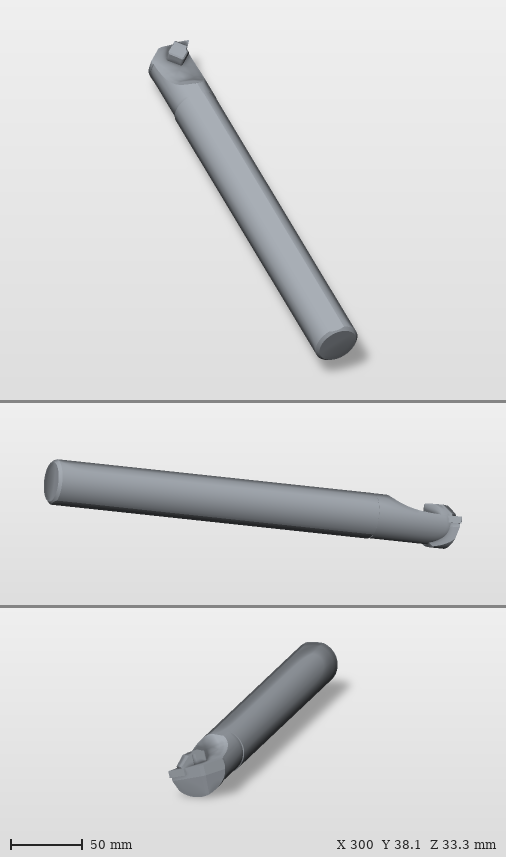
import cadquery as cq
import math

total_length = 300.0
shank_diameter = 32.0
flat_height = 15.0
shank_start = 60.0
end_chamfer = 2.0

neck_radius = 15.75
neck_offset = 0.5
head_radius = 18.3
head_offset = 3.0
head_length = 17.5
head_run_out = 2.7

rake_angle = 13.0
tip_y = 22.05

end_face_x = 0.75
end_face_inner = (2.0, -1.0)
corner_outer = (3.0, -4.0)
land_depth = 7.5
relief_angle = 10.0
trailing_setback = 0.5

pocket_length = 49.5
pocket_rise = 10.0
pocket_waist = (27.0, 1.2)
pocket_floor_slope = 2.0
pocket_end_slope = 42.0

insert_edge = 11.7
insert_angle = 55.0
insert_thickness = 4.8
insert_nose_radius = 0.4

clamp_length = 20.7
clamp_width = 12.0
clamp_height = 7.5
clamp_corner = (15.0, -3.5)
clamp_direction = 135.0
clamp_corner_diameter = 3.3
clamp_chamfer = 1.0
clamp_groove_diameter = 4.0
clamp_groove_place = 9.5
clamp_groove_depth = 0.5
clamp_top_length = 13.5
nose_slope = 40.0
clamp_trim_radius = 16.8
clamp_trim_offset = 1.0

reach = 2 * shank_diameter

tip_plan_y = tip_y * math.cos(math.radians(rake_angle))
rake_height = tip_y * math.sin(math.radians(rake_angle))

trailing_slope = 1 / math.tan(math.radians(insert_angle))
trailing_drop = trailing_setback / math.sin(math.radians(insert_angle))
trailing_start_y = tip_plan_y - trailing_drop - trailing_slope * end_face_x


def tilt(shape):
    """Turn a shape from the rake frame into its place on the bar."""
    return shape.rotate((0, 0, 0), (1, 0, 0), -rake_angle)


def rod(radius, start, end, offset=0.0):
    """Round rod along X whose centre is moved by offset in Y."""
    return cq.Workplane("YZ", origin=(start, offset, 0)).circle(radius).extrude(end - start)


def relieved_prism(outline):
    """Prism with the given plan: straight down to the land's edge, then with relief."""
    land_bottom = rake_height - land_depth
    upper = cq.Workplane("XY").workplane(offset=land_bottom).polyline(outline).close().extrude(reach)
    lower = (
        cq.Workplane("XY")
        .workplane(offset=land_bottom)
        .polyline(outline)
        .close()
        .extrude(-shank_diameter, taper=relief_angle)
    )
    return tilt(upper.union(lower))


def front_faces():
    """Plan points of the end face, the corner face and the 45 degree face, in that order."""
    face_run = shank_diameter
    return [
        (end_face_x, trailing_start_y),
        end_face_inner,
        corner_outer,
        (corner_outer[0] + face_run, corner_outer[1] - face_run),
    ]


def make_shank():
    shank = rod(shank_diameter / 2, shank_start, total_length)
    return shank.faces(">X").chamfer(end_chamfer)


def make_neck():
    rear = [(2 * reach, -shank_diameter), (2 * reach, reach), (end_face_x, reach)]
    plan = front_faces() + rear
    return rod(neck_radius, 0, shank_start, neck_offset).intersect(relieved_prism(plan))


def make_head():
    """Larger round head, cut back along the insert's trailing edge."""
    trailing_end = (end_face_x + reach, trailing_start_y - trailing_slope * reach)
    plan = front_faces() + [trailing_end]
    run_out = (
        cq.Workplane("XZ", origin=(0, reach, 0))
        .moveTo(head_length, -head_radius)
        .line(0, head_run_out)
        .line(-head_run_out, -head_run_out)
        .close()
        .extrude(2 * reach)
    )
    return rod(head_radius, 0, head_length, head_offset).intersect(relieved_prism(plan)).cut(run_out)


def make_flats():
    """Material to remove beyond the top and bottom flats; the bottom flat is on the shank only."""
    top = cq.Workplane("XY", origin=(0, 0, flat_height)).rect(3 * total_length, reach).extrude(reach)
    bottom = (
        cq.Workplane("XY", origin=((shank_start + total_length) / 2, 0, -flat_height))
        .rect(total_length - shank_start, reach)
        .extrude(-reach)
    )
    return top.union(bottom)


def make_chip_pocket():
    """Room above the rake face, whose floor sweeps smoothly up towards the shank."""
    start = (0, rake_height)
    waist = (pocket_waist[0], rake_height + pocket_waist[1])
    end = (pocket_length, rake_height + pocket_rise)
    floor_slope = math.radians(pocket_floor_slope)
    end_slope = math.radians(pocket_end_slope)
    tangents = [(math.cos(slope), math.sin(slope)) for slope in (floor_slope, end_slope)]
    overrun = pocket_rise
    profile = (
        cq.Workplane("XZ", origin=(0, reach, 0))
        .moveTo(*start)
        .spline([waist, end], tangents=tangents, includeCurrent=True)
        .line(overrun * math.cos(end_slope), overrun * math.sin(end_slope))
        .lineTo(0, end[1] + overrun * math.sin(end_slope))
        .close()
    )
    return tilt(profile.extrude(2 * reach))


def make_clamp(envelope):
    """Block with rounded rear corners and a sloping nose, kept within the round envelope."""
    block = (
        cq.Workplane("XY")
        .box(clamp_length, clamp_width, clamp_height, centered=False)
        .translate((0, -clamp_width, 0))
    )
    corner_radius = clamp_corner_diameter / 2
    block = block.edges("|Z and <X and <Y").fillet(corner_radius)
    block = block.faces(">Z").edges("<X or <Y").chamfer(clamp_chamfer)
    block = block.edges("|Z and <X and >Y").fillet(corner_radius)
    groove_radius = clamp_groove_diameter / 2
    groove = (
        cq.Workplane("XY", origin=(clamp_groove_place, groove_radius - clamp_groove_depth, 0))
        .circle(groove_radius)
        .extrude(clamp_height)
    )
    nose_run = clamp_length - clamp_top_length
    nose_cut = (
        cq.Workplane("XZ", origin=(0, reach, 0))
        .moveTo(clamp_top_length, clamp_height)
        .lineTo(clamp_length, clamp_height - nose_run * math.tan(math.radians(nose_slope)))
        .lineTo(clamp_length, clamp_height)
        .close()
        .extrude(2 * reach)
    )
    clamp = block.cut(nose_cut).cut(groove).rotate((0, 0, 0), (0, 0, 1), clamp_direction)
    clamp = tilt(clamp.translate((clamp_corner[0], clamp_corner[1], rake_height)))
    outside = rod(clamp_trim_radius, 0, shank_start, clamp_trim_offset)
    return clamp.intersect(envelope).intersect(outside)


def make_insert():
    """Rhombic plate with a rounded tip; its leading edge lies square to the bar axis."""
    angle = math.radians(insert_angle)
    side = (insert_edge * math.sin(angle), -insert_edge * math.cos(angle))
    sharp_y = tip_plan_y + insert_nose_radius * (1 / math.tan(angle / 2) - 1)
    plan = [
        (0, sharp_y),
        (side[0], sharp_y + side[1]),
        (side[0], sharp_y + side[1] - insert_edge),
        (0, sharp_y - insert_edge),
    ]
    plate = cq.Workplane("XY").workplane(offset=rake_height).polyline(plan).close().extrude(-insert_thickness)
    return tilt(plate.edges("|Z").fillet(insert_nose_radius))


insert = make_insert()

front_blank = make_neck().union(make_head())
holder = front_blank.union(make_shank()).cut(make_flats()).cut(make_chip_pocket())
holder = holder.union(make_clamp(front_blank)).cut(insert)

result = cq.Compound.makeCompound([holder.solids().val(), insert.solids().val()])